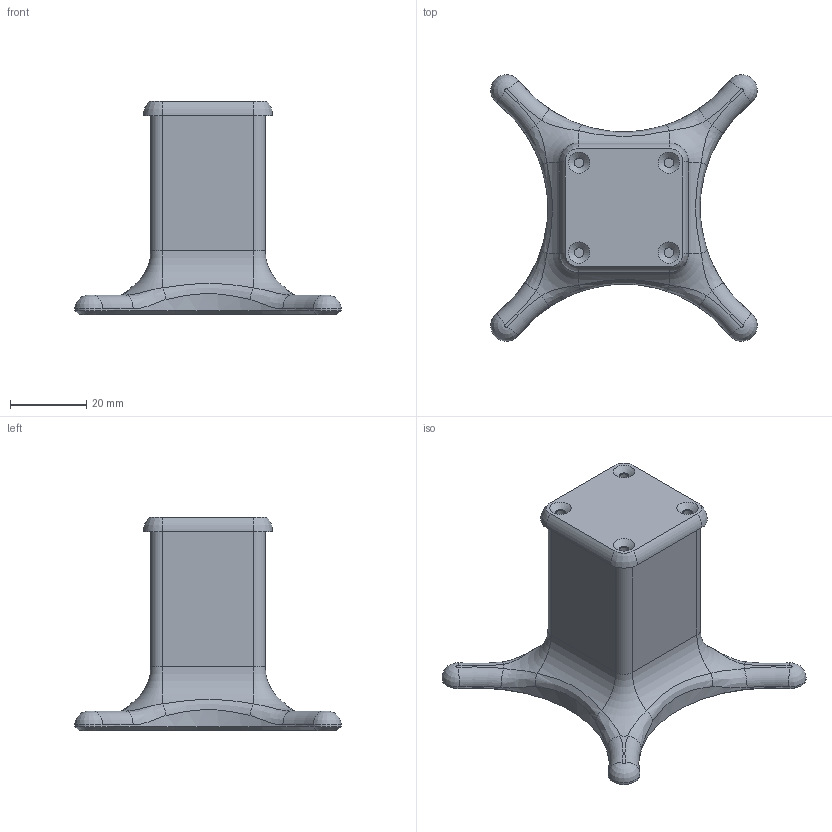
import cadquery as cq
import math

overall_span = 70.0
overall_height = 56.0
flat_width = 24.0

arm_tip_radius = 8.25 / 2
arm_height = 5.125
rim_fillet = 3.625
bottom_chamfer_height = 1.0
bottom_chamfer_inset = 1.25
waist_half_width = 20.0
tip_center = overall_span / 2 - arm_tip_radius

column_width = 30.1
column_corner_radius = (column_width - flat_width) / 2
flare_radius = 11.625

lid_height = 3.75
lid_width = 33.9
lid_edge_radius = 5.5
lid_seat = overall_height - lid_height

screw_spacing = 23.6
screw_hole_diameter = 2.5
head_diameter = 5.6
head_depth = 1.35
lip_thickness = 0.3
relief_diameter = 3.5
pilot_depth = 12.0

tip_to_waist = waist_half_width - arm_tip_radius
side_arc_center = (2 * tip_center**2 - tip_to_waist**2) / (2 * (tip_center - tip_to_waist))
side_arc_radius = side_arc_center - waist_half_width


def quarter_turned(point, turns):
    """Turn a plan point about Z by a number of quarter turns."""
    x, y = point
    for _ in range(turns):
        x, y = -y, x
    return x, y


def star_prism(height):
    """Vertical prism over the star outline of the foot."""
    tip_direction = math.atan2(tip_center - side_arc_center, tip_center)
    tangent_x = side_arc_radius * math.cos(tip_direction)
    tangent_y = side_arc_center + side_arc_radius * math.sin(tip_direction)
    tip_reach = tip_center + arm_tip_radius / math.sqrt(2)
    outline = cq.Workplane("XY").moveTo(tangent_x, tangent_y)
    for turns in range(4):
        waist = quarter_turned((0, waist_half_width), turns)
        side_end = quarter_turned((-tangent_x, tangent_y), turns)
        tip = quarter_turned((-tip_reach, tip_reach), turns)
        next_side = quarter_turned((tangent_x, tangent_y), turns + 1)
        outline = outline.threePointArc(waist, side_end).threePointArc(tip, next_side)
    return outline.close().extrude(height)


def flared_column():
    """Column standing on a wide plate, blended into it by the concave flare."""
    plate_width = 2 * overall_span
    plate = cq.Workplane("XY").box(plate_width, plate_width, arm_height, centered=(True, True, False))
    column = (
        cq.Workplane("XY")
        .box(column_width, column_width, lid_seat, centered=(True, True, False))
        .edges("|Z")
        .fillet(column_corner_radius)
    )
    foot_line = cq.selectors.BoxSelector(
        (-column_width, -column_width, arm_height / 2),
        (column_width, column_width, 3 * arm_height / 2),
    )
    return plate.union(column).edges(foot_line).fillet(flare_radius)


def round_rim(foot):
    """Round the upper edge of every star wall; the walls are the side faces that reach the ground."""
    rim_edges = []
    for wall in foot.faces("not <Z").vals():
        if wall.BoundingBox().zmin < arm_height / 2:
            rim_edges += [edge for edge in wall.Edges() if edge.BoundingBox().zmin > arm_height / 2]
    return foot.newObject(rim_edges).fillet(rim_fillet)


def screw_holes(diameter, bottom, depth):
    """Four upright round cutters on the screw pattern."""
    return (
        cq.Workplane("XY", origin=(0, 0, bottom))
        .rect(screw_spacing, screw_spacing, forConstruction=True)
        .vertices()
        .circle(diameter / 2)
        .extrude(depth)
    )


def make_base():
    foot = flared_column().intersect(star_prism(lid_seat))
    foot = round_rim(foot)
    foot = foot.faces("<Z").edges().chamfer(bottom_chamfer_inset, bottom_chamfer_height)
    return foot.cut(screw_holes(screw_hole_diameter, lid_seat - pilot_depth, pilot_depth))


edge_angle = math.asin(lid_height / lid_edge_radius)


def edge_point(angle, axis_offset):
    """Point of the lid's edge arc in an upright section whose axis lies axis_offset from the middle."""
    arc_center = lid_width / 2 - lid_edge_radius - axis_offset
    return arc_center + lid_edge_radius * math.cos(angle), lid_edge_radius * math.sin(angle)


def lid_bar(plane):
    """Lid section carried straight along the flat part of two opposite sides."""
    low_x, low_z = edge_point(0, 0)
    mid_x, mid_z = edge_point(edge_angle / 2, 0)
    top_x, top_z = edge_point(edge_angle, 0)
    return (
        cq.Workplane(plane)
        .moveTo(-low_x, low_z)
        .lineTo(low_x, low_z)
        .threePointArc((mid_x, mid_z), (top_x, top_z))
        .lineTo(-top_x, top_z)
        .threePointArc((-mid_x, mid_z), (-low_x, low_z))
        .close()
        .extrude(flat_width / 2, both=True)
    )


def lid_corner():
    """Lid edge profile turned about the axis of one rounded corner."""
    corner_axis = flat_width / 2
    return (
        cq.Workplane("XZ")
        .lineTo(*edge_point(0, corner_axis))
        .threePointArc(edge_point(edge_angle / 2, corner_axis), edge_point(edge_angle, corner_axis))
        .lineTo(0, lid_height)
        .close()
        .revolve(360, (0, 0, 0), (0, 1, 0))
    )


def screw_head_recesses():
    """Four countersinks opening at the lid's top face."""
    return (
        cq.Workplane("XY", origin=(0, 0, lid_height))
        .rect(screw_spacing, screw_spacing, forConstruction=True)
        .vertices()
        .eachpoint(
            cq.Solid.makeCone(
                head_diameter / 2, screw_hole_diameter / 2, head_depth, dir=cq.Vector(0, 0, -1)
            ),
            combine=False,
        )
    )


def make_lid():
    lid = lid_bar("XZ").union(lid_bar("YZ"))
    for turns in range(4):
        x, y = quarter_turned((flat_width / 2, flat_width / 2), turns)
        lid = lid.union(lid_corner().translate((x, y, 0)))
    lid = lid.clean()
    lid = lid.cut(screw_holes(screw_hole_diameter, 0, lid_height))
    lid = lid.cut(screw_holes(relief_diameter, 0, lid_height - head_depth - lip_thickness))
    lid = lid.cut(screw_head_recesses())
    return lid.translate((0, 0, lid_seat))


base = make_base()
lid = make_lid()
result = cq.Compound.makeCompound([base.val(), lid.val()])